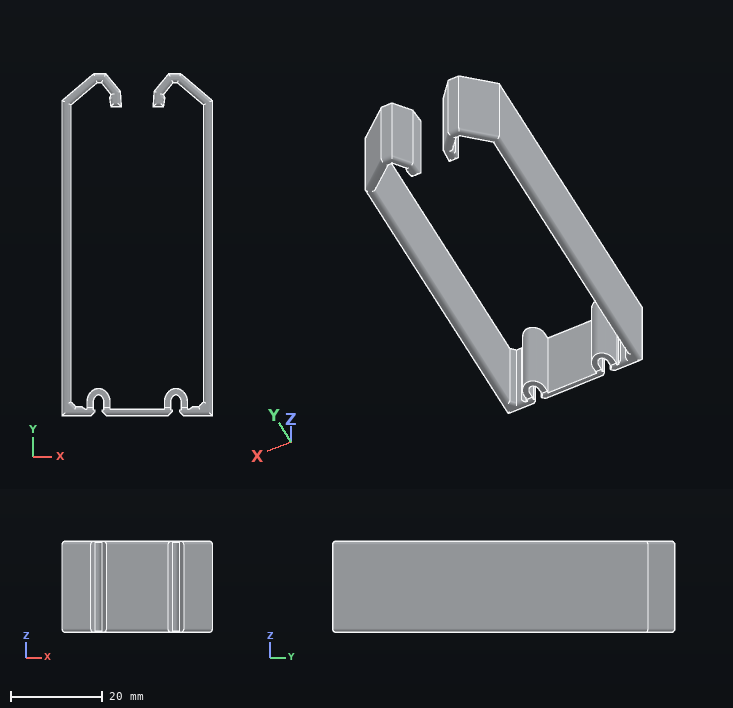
import cadquery as cq
import math

width = 33.0
length = 75.0
height = 20.0

wall = 2.0
rim_round = 0.8
corner_chamfer = 1.05

knee_y = 69.1
crest_start_x = -9.5
crest_end_x = -6.9
hook_x = -3.7
hook_y = 71.1
tip_x = -3.45
tip_y = 67.7

bend_inner = (-5.8, 70.4)
barb_inner = (-6.1, 69.7)
tip_inner = (-5.8, tip_y)

loop_x = 8.5
loop_inner_half_width = 1.1
loop_thickness = 1.4
loop_outer_half_width = loop_inner_half_width + loop_thickness
loop_spring_y = 3.1
arch_center_offset = 0.6
inner_apex_round = 0.7
outer_apex_round = inner_apex_round + loop_thickness
loop_drop = 0.3

throat_width = 1.5
mouth_width = 3.45
mouth_depth = 1.0
lip_depth = 1.35

thin_wall = 1.5
relief_half_width = 11.4
relief_slope_run = 0.75


def mirrored(points):
    """Mirror a point list across X = 0, reversed so that it joins up with the original."""
    return [(-x, y) for x, y in reversed(points)]


def inset(points, distance):
    """Offset an open polyline to its right-hand side, keeping sharp corners."""
    normals = []
    for (x0, y0), (x1, y1) in zip(points, points[1:]):
        run = math.hypot(x1 - x0, y1 - y0)
        normals.append(((y1 - y0) / run, (x0 - x1) / run))
    before = normals[:1] + normals
    after = normals + normals[-1:]
    moved = []
    for (x, y), (ax, ay), (bx, by) in zip(points, before, after):
        reach = distance / (1 + ax * bx + ay * by)
        moved.append((x + reach * (ax + bx), y + reach * (ay + by)))
    return moved


def prism(outline):
    """Extrude a closed outline over the full height, centred on Z = 0."""
    return cq.Workplane("XY").polyline(outline).close().extrude(height / 2, both=True)


def make_frame():
    """The open frame: -Y wall, two side walls and the two hooked jaws."""
    left_outer = [
        (-width / 2, 0),
        (-width / 2, knee_y),
        (crest_start_x, length),
        (crest_end_x, length),
        (hook_x, hook_y),
        (tip_x, tip_y),
    ]
    knee_to_crest = inset(left_outer, wall)[1:4]
    inner_x = -width / 2 + wall
    left_inner = [
        (inner_x + corner_chamfer, wall),
        (inner_x, wall + corner_chamfer),
        *knee_to_crest,
        bend_inner,
        barb_inner,
        tip_inner,
    ]
    outer = mirrored(left_outer) + left_outer
    inner = mirrored(left_inner) + left_inner
    return prism(outer + inner[::-1]).faces("<Z or >Z").edges().fillet(rim_round)


def make_relief():
    """The layer removed from the inside of the -Y wall, leaving the loop feet standing."""
    right_side = [
        (relief_half_width, thin_wall),
        (relief_half_width + relief_slope_run, wall),
    ]
    relief = prism(mirrored(right_side) + right_side)
    for x in (-loop_x, loop_x):
        foot = cq.Workplane("XY").center(x, wall / 2).rect(2 * loop_outer_half_width, wall)
        relief = relief.cut(foot.extrude(height / 2, both=True))
    return relief


def make_arch(half_width, apex_round, arch_height):
    """A pointed arch whose two arcs are centred just beyond its middle line."""
    radius = half_width + arch_center_offset
    apex_angle = math.acos(arch_center_offset / radius)
    apex_y = loop_spring_y + radius * math.sin(apex_angle)
    side_x = radius * math.cos(apex_angle / 2) - arch_center_offset
    side_y = loop_spring_y + radius * math.sin(apex_angle / 2)
    return (
        cq.Workplane("XY")
        .moveTo(-half_width, lip_depth)
        .lineTo(-half_width, loop_spring_y)
        .threePointArc((-side_x, side_y), (0, apex_y))
        .threePointArc((side_x, side_y), (half_width, loop_spring_y))
        .lineTo(half_width, lip_depth)
        .close()
        .extrude(arch_height / 2, both=True)
        .edges(">Y")
        .fillet(apex_round)
    )


def make_slot():
    """The flared mouth and throat together with the hollow of the loop."""
    right_side = [
        (throat_width / 2, lip_depth),
        (throat_width / 2, mouth_depth),
        (mouth_width / 2, 0),
    ]
    hollow = make_arch(loop_inner_half_width, inner_apex_round, height)
    return prism(mirrored(right_side) + right_side).union(hollow)


result = make_frame().cut(make_relief())
for x in (-loop_x, loop_x):
    loop = make_arch(loop_outer_half_width, outer_apex_round, height - 2 * loop_drop)
    result = result.union(loop.translate((x, 0, 0)))
    result = result.cut(make_slot().translate((x, 0, 0)))